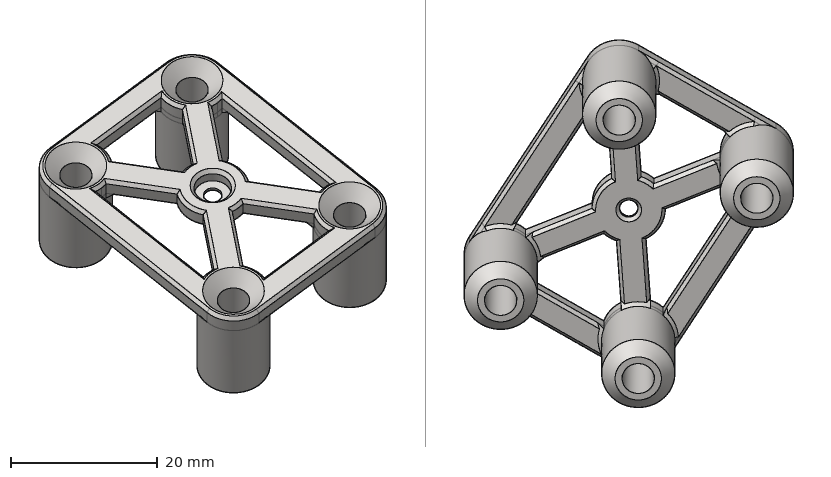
import cadquery as cq
import math

length = 41.0
width = 32.0
height = 17.5

plate_thickness = 3.0
edge_chamfer = 0.5
bar_width = 4.0

post_diameter = 10.0
post_radius = post_diameter / 2
post_tip_chamfer = 1.85
flare = 0.5
screw_hole_diameter = 4.4
countersink_diameter = 8.4
countersink_angle = 90

hub_diameter = post_diameter
hub_hole_diameter = 2.5
counterbore_diameter = 5.1
counterbore_mouth_diameter = 6.15
counterbore_depth = 2.0

post_spacing_x = length - post_diameter
post_spacing_y = width - post_diameter
post_centers = [
    (side_x * post_spacing_x / 2, side_y * post_spacing_y / 2)
    for side_x in (-1, 1)
    for side_y in (-1, 1)
]
spoke_length = math.hypot(post_spacing_x, post_spacing_y)
spoke_angle = math.degrees(math.atan2(post_spacing_y, post_spacing_x))


def blank(thickness):
    """Round-cornered slab from z = 0 down."""
    slab = cq.Workplane("XY").rect(length, width).extrude(-thickness)
    return slab.edges("|Z").fillet(post_radius)


def lattice(thickness):
    """Square-edged rim, two diagonal spokes, hub and corner pads, from z = 0 down."""
    base = cq.Workplane("XY")
    opening = base.rect(length - 2 * bar_width, width - 2 * bar_width).extrude(-thickness)
    body = blank(thickness).cut(opening)
    for angle in (spoke_angle, -spoke_angle):
        spoke = base.rect(spoke_length, bar_width).extrude(-thickness)
        body = body.union(spoke.rotate((0, 0, 0), (0, 0, 1), angle))
    body = body.union(base.circle(hub_diameter / 2).extrude(-thickness))
    pads = base.pushPoints(post_centers).circle(post_radius).extrude(-thickness)
    return body.union(pads).clean()


def plate():
    """Lattice with every top and bottom edge chamfered."""
    return lattice(plate_thickness).faces("<Z or >Z").edges().chamfer(edge_chamfer)


def turned(profile):
    """Solid of revolution about Z from (radius, z) points."""
    return cq.Workplane("XZ").polyline(profile).close().revolve(360, (0, 0, 0), (0, 1, 0))


def posts():
    """Round posts with conical tips."""
    rods = cq.Workplane("XY").workplane(offset=-edge_chamfer).pushPoints(post_centers)
    rods = rods.circle(post_radius).extrude(edge_chamfer - height)
    return rods.faces("<Z").edges().chamfer(post_tip_chamfer)


def flare_cone():
    """Cone that widens the post up to the lower edge of the plate's side walls."""
    wall_bottom = edge_chamfer - plate_thickness
    profile = [
        (0, wall_bottom),
        (post_radius + flare + edge_chamfer, wall_bottom),
        (post_radius, -plate_thickness - flare),
        (0, -plate_thickness - flare),
    ]
    return turned(profile)


def at_posts(shape):
    """One copy of a shape at each post axis."""
    copies = cq.Workplane("XY")
    for x, y in post_centers:
        copies = copies.add(shape.translate((x, y, 0)))
    return copies.combine()


def post_flares():
    """Flares cut off flush with the bar walls inside and with the plate's lower bevel outside."""
    depth = plate_thickness + flare
    bevelled_blank = blank(depth).faces("<Z").edges().chamfer(edge_chamfer + flare)
    return at_posts(flare_cone()).intersect(lattice(depth)).intersect(bevelled_blank)


def hub_bore():
    """Hub hole: bevelled counterbore above, bevelled exit below."""
    counterbore_radius = counterbore_diameter / 2
    mouth_radius = counterbore_mouth_diameter / 2
    hole_radius = hub_hole_diameter / 2
    profile = [
        (0, 0),
        (mouth_radius, 0),
        (counterbore_radius, counterbore_radius - mouth_radius),
        (counterbore_radius, -counterbore_depth),
        (hole_radius, -counterbore_depth),
        (hole_radius, edge_chamfer - plate_thickness),
        (hole_radius + edge_chamfer, -plate_thickness),
        (0, -plate_thickness),
    ]
    return turned(profile)


body = plate().union(posts()).union(post_flares()).clean()

body = (
    body.faces(">Z")
    .workplane(origin=(0, 0, 0))
    .pushPoints(post_centers)
    .cskHole(screw_hole_diameter, countersink_diameter, countersink_angle)
)

result = body.cut(hub_bore())